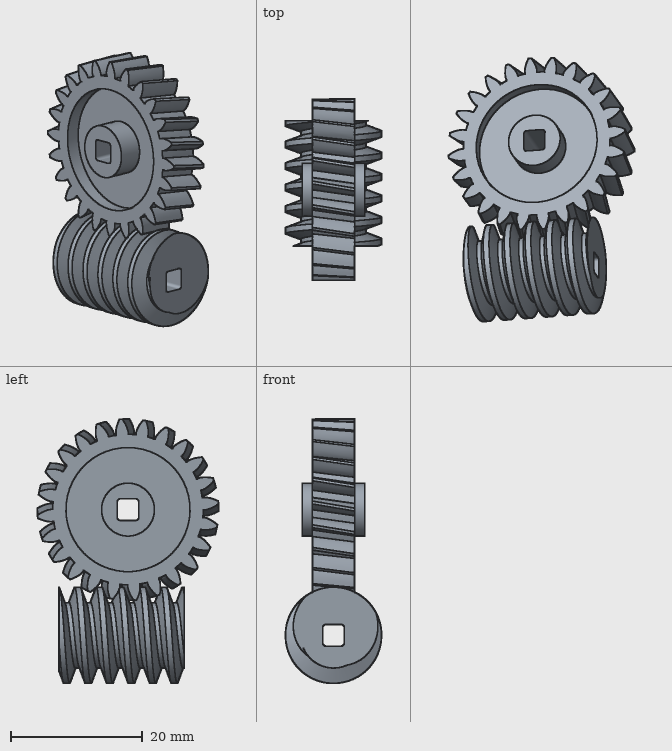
import cadquery as cq
import math

TEETH = 24
WHEEL_TIP_DIAMETER = 27.5
PRESSURE_ANGLE = math.radians(20)
LONG_HEIGHT_RATIO = 1.25
MODULE = WHEEL_TIP_DIAMETER / (TEETH + 2 * LONG_HEIGHT_RATIO)
SHORT_HEIGHT = MODULE
LONG_HEIGHT = LONG_HEIGHT_RATIO * MODULE

FACE_WIDTH = 6.4
FLANK_STEPS = 6
FIRST_TOOTH_ANGLE = -4.5
WHEEL_TWIST = 4.5
HUB_DIAMETER = 8.0
HUB_LENGTH = 9.55
RECESS_DIAMETER = 18.8
RECESS_DEPTH = 2.25

TOTAL_HEIGHT = 40.1
WORM_DIAMETER = 14.6
WORM_LENGTH = 19.0
WORM_START_Y = -8.55
GROOVE_START_ANGLE = 103.0
SPARE_TURNS = 2
GROOVE_OVERSHOOT = 0.4
WORM_AXIS_Z = (WHEEL_TIP_DIAMETER + WORM_DIAMETER) / 2 - TOTAL_HEIGHT

HOLE_SIDE = 3.25
HOLE_CORNER_RADIUS = 0.5

def wheel_plane(x):
    """Plane across the wheel's axis at x, with its first direction up."""
    return cq.Plane(origin=(x, 0, 0), xDir=(0, 0, 1), normal=(1, 0, 0))


def polar(radius, angle):
    """Point at a radius and an angle from the plane's first direction."""
    return (radius * math.cos(angle), radius * math.sin(angle))


def arc_to(outline, radius, start, end):
    """Continue the outline with an arc about the origin."""
    return outline.threePointArc(polar(radius, (start + end) / 2), polar(radius, end))


def drive_hole(plane, length):
    """Square bar with rounded corners that rises from the plane."""
    square = cq.Sketch().rect(HOLE_SIDE, HOLE_SIDE).vertices().fillet(HOLE_CORNER_RADIUS)
    return cq.Workplane(plane).placeSketch(square).extrude(length)


def wheel_outline():
    """Involute gear outline of the face at -X."""
    pitch_radius = MODULE * TEETH / 2
    base_radius = pitch_radius * math.cos(PRESSURE_ANGLE)
    root_radius = pitch_radius - SHORT_HEIGHT
    tip_radius = pitch_radius + LONG_HEIGHT
    pitch_angle = 2 * math.pi / TEETH
    base_half_angle = pitch_angle / 4 + math.tan(PRESSURE_ANGLE) - PRESSURE_ANGLE

    tip_roll = math.sqrt((tip_radius / base_radius) ** 2 - 1)
    flank = []
    for step in range(FLANK_STEPS + 1):
        roll = tip_roll * step / FLANK_STEPS
        flank.append((base_radius * math.hypot(1, roll), base_half_angle - roll + math.atan(roll)))
    tip_half_angle = flank[-1][1]

    first_center = math.radians(FIRST_TOOTH_ANGLE)
    outline = cq.Workplane(wheel_plane(-FACE_WIDTH / 2))
    outline = outline.moveTo(*polar(root_radius, first_center - base_half_angle))
    for tooth in range(TEETH):
        center = first_center + tooth * pitch_angle
        rising = [polar(radius, center - half) for radius, half in flank]
        falling = [polar(radius, center + half) for radius, half in reversed(flank)]
        outline = outline.lineTo(*rising[0]).spline(rising[1:], includeCurrent=True)
        outline = arc_to(outline, tip_radius, center - tip_half_angle, center + tip_half_angle)
        outline = outline.spline(falling[1:], includeCurrent=True)
        outline = outline.lineTo(*polar(root_radius, center + base_half_angle))
        next_tooth = center + pitch_angle - base_half_angle
        outline = arc_to(outline, root_radius, center + base_half_angle, next_tooth)
    return outline.close()


def make_wheel():
    """Wheel with helical teeth, a recessed web and a hub that stands out on both sides."""
    wheel = wheel_outline().twistExtrude(FACE_WIDTH, WHEEL_TWIST)
    for face_x in (-FACE_WIDTH / 2, FACE_WIDTH / 2 - RECESS_DEPTH):
        recess = cq.Workplane(wheel_plane(face_x))
        wheel = wheel.cut(recess.circle(RECESS_DIAMETER / 2).extrude(RECESS_DEPTH))
    hub_plane = wheel_plane(-HUB_LENGTH / 2)
    wheel = wheel.union(cq.Workplane(hub_plane).circle(HUB_DIAMETER / 2).extrude(HUB_LENGTH))
    return wheel.cut(drive_hole(hub_plane, HUB_LENGTH))


def make_thread_groove():
    """Helical groove about Z, long enough to run out of both ends of the worm that starts at z = 0."""
    lead = math.pi * MODULE
    pitch_radius = WORM_DIAMETER / 2 - SHORT_HEIGHT
    root_radius = pitch_radius - LONG_HEIGHT
    outer_radius = WORM_DIAMETER / 2 + GROOVE_OVERSHOOT

    def half_width(radius):
        return lead / 4 + (radius - pitch_radius) * math.tan(PRESSURE_ANGLE)

    section = cq.Workplane("XZ").polyline([
        (root_radius, -half_width(root_radius)),
        (outer_radius, -half_width(outer_radius)),
        (outer_radius, half_width(outer_radius)),
        (root_radius, half_width(root_radius)),
    ]).close()
    turns = math.ceil(WORM_LENGTH / lead) + SPARE_TURNS
    helix = cq.Wire.makeHelix(lead, turns * lead, root_radius)
    groove = section.sweep(cq.Workplane(obj=helix), isFrenet=True)
    groove = groove.translate((0, 0, -lead)).rotate((0, 0, 0), (0, 0, 1), GROOVE_START_ANGLE)
    return groove.intersect(cq.Workplane("XY").circle(2 * outer_radius).extrude(WORM_LENGTH))


def make_worm():
    """Cylinder with a single-start groove, made upright and then laid along Y."""
    worm = cq.Workplane("XY").circle(WORM_DIAMETER / 2).extrude(WORM_LENGTH)
    worm = worm.cut(make_thread_groove()).cut(drive_hole("XY", WORM_LENGTH))
    return worm.rotate((0, 0, 0), (1, 0, 0), -90).translate((0, WORM_START_Y, WORM_AXIS_Z))


wheel = make_wheel()
worm = make_worm()

result = cq.Compound.makeCompound([wheel.val(), worm.val()])